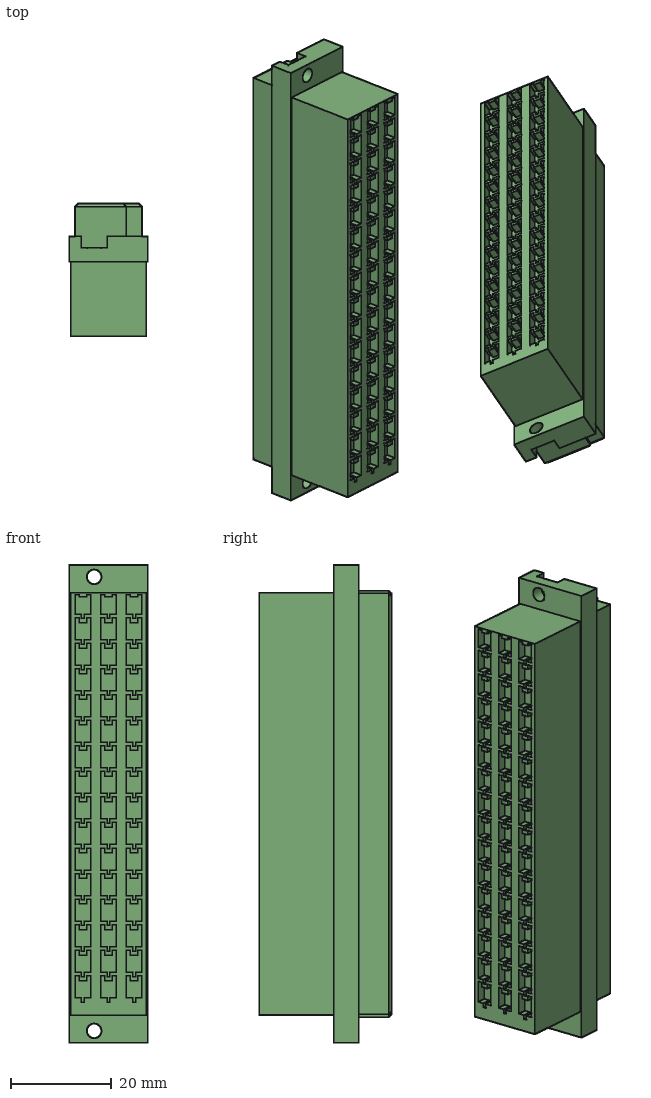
import cadquery as cq


flange_width = 15.7
flange_height = 94.9
flange_thickness = 5.0
overall_depth = 26.4

body_width = 15.1
body_height = 83.9
body_depth = 14.8

plug_width = 13.4
plug_height = 84.7
plug_depth = overall_depth - body_depth - flange_thickness
plug_chamfer = 0.7
plug_step_width = 3.1
plug_step_drop = 0.6

hole_diameter = 2.8
hole_x = -2.8
hole_inset = 2.4
notch_width = 5.1
notch_depth = 2.3

column_count = 3
row_count = 16
row_span = 76.2
pitch = row_span / (row_count - 1)
chamber_width = 3.1
chamber_height = 4.4
chamber_depth = 2.0
lowest_chamber_bottom = -38.5
tab_width = 1.4
tab_height = 0.95
slot_width = 0.6
slot_height = 0.9
end_wall = 0.4

flange_front = body_depth
flange_back = body_depth + flange_thickness


def box(width, depth, height, x=0.0, y=0.0, z=0.0):
    """Box centred on x, starting at y and centred on z."""
    return cq.Workplane("XY").box(width, depth, height, centered=(True, False, True)).translate((x, y, z))


def make_plug():
    plug = box(plug_width, plug_depth, plug_height, y=flange_back)
    step_x = (plug_width - plug_step_width) / 2
    for side in (-1, 1):
        step_z = side * (plug_height - plug_step_drop) / 2
        plug = plug.cut(box(plug_step_width, plug_depth, plug_step_drop, step_x, flange_back, step_z))
    return plug.faces(">Y").chamfer(plug_chamfer)


def make_flange():
    flange = box(flange_width, flange_thickness, flange_height, y=flange_front)
    notch_height = (flange_height - plug_height) / 2
    for side in (-1, 1):
        notch_z = side * (flange_height - notch_height) / 2
        notch_y = flange_back - notch_depth
        flange = flange.cut(box(notch_width, notch_depth, notch_height, hole_x, notch_y, notch_z))
        hole_z = side * (flange_height / 2 - hole_inset)
        hole = cq.Workplane("XZ", origin=(hole_x, 0, hole_z)).circle(hole_diameter / 2).extrude(-overall_depth)
        flange = flange.cut(hole)
    return flange


def make_chamber(x, bottom):
    """Pocket with a tab hanging from its top edge and a slot below it; the end wall limits the top row."""
    top = min(bottom + chamber_height, body_height / 2 - end_wall)
    height = top - bottom
    tab_bottom = bottom + chamber_height - tab_height
    tab_z = tab_bottom + tab_height / 2
    chamber = box(chamber_width, chamber_depth, height, x, 0, bottom + height / 2)
    chamber = chamber.cut(box(tab_width, chamber_depth, tab_height, x, 0, tab_z))
    slot = box(slot_width, chamber_depth, slot_height, x, 0, bottom - slot_height / 2)
    return chamber.union(slot)


def make_body():
    body = box(body_width, body_depth, body_height)
    for column in range(column_count):
        column_x = (column - (column_count - 1) / 2) * pitch
        for row in range(row_count):
            body = body.cut(make_chamber(column_x, lowest_chamber_bottom + row * pitch))
    return body


result = make_body().union(make_flange()).union(make_plug())